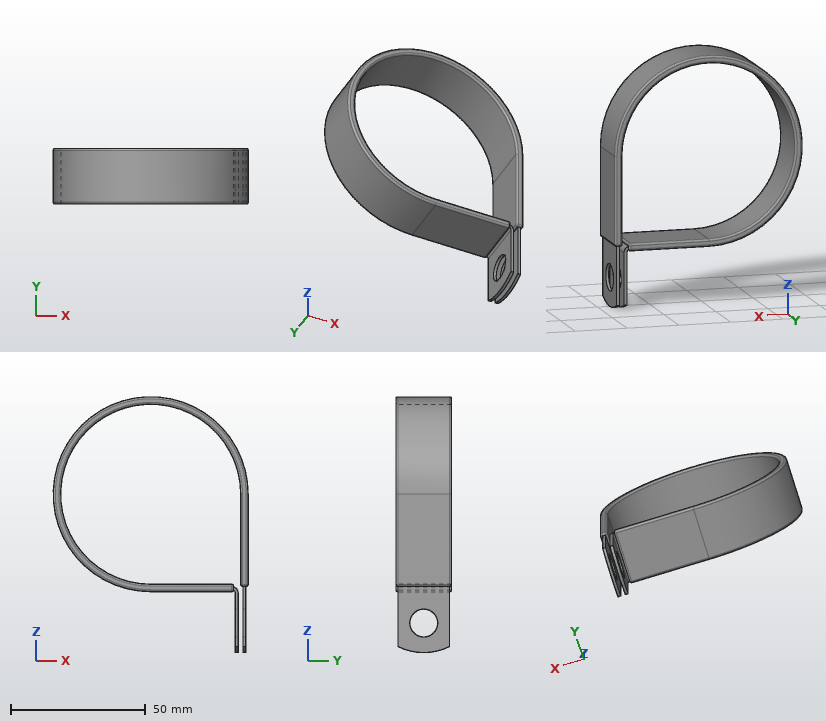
import cadquery as cq
import math

OUTER_RADIUS = 36.1
CUSHION_THICKNESS = 2.8
CUSHION_WIDTH = 20.7
EDGE_FILLET = 0.8
UPRIGHT_END_Z = -34.2
FLOOR_END_X = 30.7

STRAP_THICKNESS = 1.1
STRAP_WIDTH = 19.2
OVERALL_HEIGHT = 94.9
TAB_GAP = 1.7
BEND_OUTER_RADIUS = 2.6
TAB_TIP_SAG = 2.3
HOLE_DIAMETER = 10.2
HOLE_Z = -47.7

INNER_RADIUS = OUTER_RADIUS - CUSHION_THICKNESS
TIP_Z = OUTER_RADIUS - OVERALL_HEIGHT
STRAP_OUTER_RADIUS = OUTER_RADIUS - (CUSHION_THICKNESS - STRAP_THICKNESS) / 2
STRAP_INNER_RADIUS = STRAP_OUTER_RADIUS - STRAP_THICKNESS
BENT_TAB_OUTER_X = STRAP_INNER_RADIUS - TAB_GAP
BENT_TAB_INNER_X = BENT_TAB_OUTER_X - STRAP_THICKNESS


def extrude_centred(sketch, width):
    """Extrude an XZ outline equally to both sides of Y = 0."""
    return sketch.extrude(width / 2, both=True)


def make_cushion():
    mid = math.sqrt(0.5)
    outline = (
        cq.Workplane("XZ")
        .moveTo(OUTER_RADIUS, UPRIGHT_END_Z)
        .lineTo(OUTER_RADIUS, 0)
        .threePointArc((-OUTER_RADIUS * mid, OUTER_RADIUS * mid), (0, -OUTER_RADIUS))
        .lineTo(FLOOR_END_X, -OUTER_RADIUS)
        .lineTo(FLOOR_END_X, -INNER_RADIUS)
        .lineTo(0, -INNER_RADIUS)
        .threePointArc((-INNER_RADIUS * mid, INNER_RADIUS * mid), (INNER_RADIUS, 0))
        .lineTo(INNER_RADIUS, UPRIGHT_END_Z)
        .close()
    )
    return extrude_centred(outline, CUSHION_WIDTH).edges().fillet(EDGE_FILLET)


def make_straight_tab():
    """Upright tab, starting inside the upright leg of the cushion."""
    outline = (
        cq.Workplane("XZ")
        .moveTo(STRAP_INNER_RADIUS, 0)
        .lineTo(STRAP_OUTER_RADIUS, 0)
        .lineTo(STRAP_OUTER_RADIUS, TIP_Z)
        .lineTo(STRAP_INNER_RADIUS, TIP_Z)
        .close()
    )
    return extrude_centred(outline, STRAP_WIDTH)


def make_bent_tab():
    """Tab that turns down from the floor leg of the cushion."""
    bend_inner_radius = BEND_OUTER_RADIUS - STRAP_THICKNESS
    bend_x = BENT_TAB_OUTER_X - BEND_OUTER_RADIUS
    bend_z = -STRAP_INNER_RADIUS - BEND_OUTER_RADIUS
    outline = (
        cq.Workplane("XZ")
        .moveTo(0, -STRAP_INNER_RADIUS)
        .lineTo(bend_x, -STRAP_INNER_RADIUS)
        .radiusArc((BENT_TAB_OUTER_X, bend_z), BEND_OUTER_RADIUS)
        .lineTo(BENT_TAB_OUTER_X, TIP_Z)
        .lineTo(BENT_TAB_INNER_X, TIP_Z)
        .lineTo(BENT_TAB_INNER_X, bend_z)
        .radiusArc((bend_x, -STRAP_OUTER_RADIUS), -bend_inner_radius)
        .lineTo(0, -STRAP_OUTER_RADIUS)
        .close()
    )
    return extrude_centred(outline, STRAP_WIDTH)


def make_tab_envelope():
    """Tab face with a bowed tip and a bolt hole, extruded through both tabs along X."""
    half_width = STRAP_WIDTH / 2
    corner_z = TIP_Z + TAB_TIP_SAG
    return (
        cq.Workplane("YZ")
        .moveTo(-half_width, 0)
        .lineTo(-half_width, corner_z)
        .threePointArc((0, TIP_Z), (half_width, corner_z))
        .lineTo(half_width, 0)
        .close()
        .moveTo(0, HOLE_Z)
        .circle(HOLE_DIAMETER / 2)
        .extrude(OUTER_RADIUS)
    )


tabs = make_straight_tab().union(make_bent_tab()).intersect(make_tab_envelope())
result = make_cushion().union(tabs)